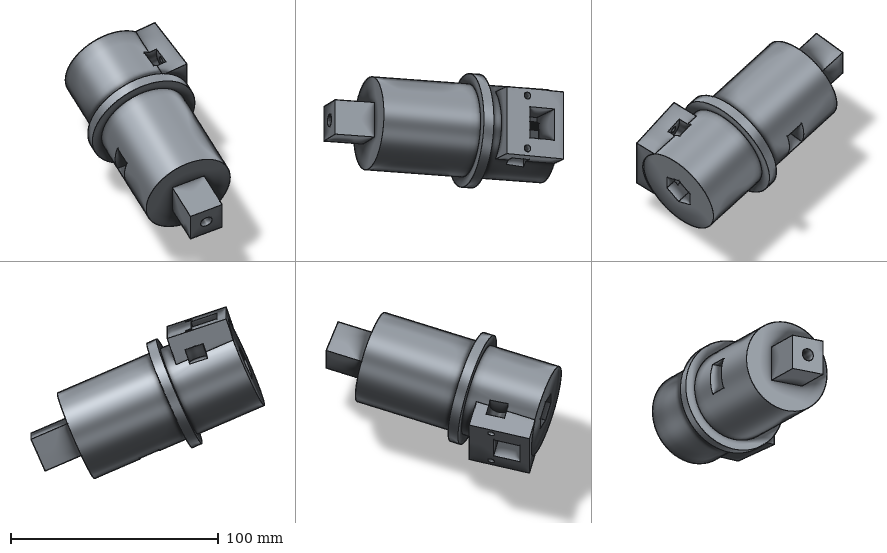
import cadquery as cq
import math

body_radius = 22.5
body_length = 89.3
flange_radius = 27.5
flange_start = 35.0
flange_thickness = 5.1

tail_side = 17.0
tail_end = 109.2

hex_flats = 15.0
socket_depth = 65.3
bore_diameter = 6.1

window_length = 10.4
window_height = 15.1

block_length = 30.0
block_height = 33.1
block_depth = 14.3
block_tilt = 5.0
block_corner_x = 28.8
block_corner_y = 28.7

slot_end_offset = 12.1
slot_length = 13.1
slot_height = 15.3
slot_depth = 21.2

screw_offset = 10.9
screw_height = 13.0
screw_diameter = 3.3
recess_width = 9.0
recess_start = 7.9
recess_end = 15.0


def rod(radius, start, end):
    """Cylinder along X between two X positions."""
    return cq.Workplane("YZ", origin=(start, 0, 0)).circle(radius).extrude(end - start)


def tilted(shape):
    """Move a shape from the block's own axes (corner at origin) to its place."""
    turned = shape.rotate((0, 0, 0), (0, 0, 1), block_tilt)
    return turned.translate((block_corner_x, block_corner_y, 0))


def block_box(rear_offset, length, depth, height):
    """Box reaching inward from the block's outer face, centred in Z."""
    box = cq.Workplane("XY").box(length, depth, height, centered=(False, False, True))
    return box.translate((-rear_offset - length, -depth, 0))


def make_body():
    body = rod(body_radius, 0, body_length)
    flange = rod(flange_radius, flange_start, flange_start + flange_thickness)
    tail = cq.Workplane("YZ", origin=(body_length, 0, 0)).rect(tail_side, tail_side)
    return body.union(flange).union(tail.extrude(tail_end - body_length))


def make_block():
    """Tilted block hollowed to the body radius, so it sits on the round surface."""
    block = tilted(block_box(0, block_length, block_depth, block_height))
    return block.cut(rod(body_radius, -block_length, body_length))


def make_socket():
    hex_corners = hex_flats / math.cos(math.pi / 6)
    socket = cq.Workplane("YZ").polygon(6, hex_corners).extrude(socket_depth)
    socket = socket.rotate((0, 0, 0), (1, 0, 0), 90)
    return socket.union(rod(bore_diameter / 2, 0, tail_end))


def make_window():
    window = cq.Workplane("XY").box(
        window_length, body_radius, window_height, centered=(False, False, True)
    )
    return window.translate((socket_depth - window_length, -body_radius, 0))


def make_screw_cut(side):
    """Screw hole and open head recess; side is +1 for the top, -1 for the bottom."""
    center = (-screw_offset, side * screw_height)
    hole = cq.Workplane("XZ").center(*center).circle(screw_diameter / 2).extrude(recess_end)
    recess_length = recess_end - recess_start
    recess_plane = cq.Workplane("XZ", origin=(0, -recess_start, 0))
    round_end = recess_plane.center(*center).circle(recess_width / 2).extrude(recess_length)
    opening = (
        recess_plane.center(center[0], center[1] + side * body_radius / 2)
        .rect(recess_width, body_radius)
        .extrude(recess_length)
    )
    return tilted(hole.union(round_end).union(opening))


result = make_body().union(make_block())
result = result.cut(make_socket()).cut(make_window())
result = result.cut(tilted(block_box(slot_end_offset, slot_length, slot_depth, slot_height)))
for side in (1, -1):
    result = result.cut(make_screw_cut(side))